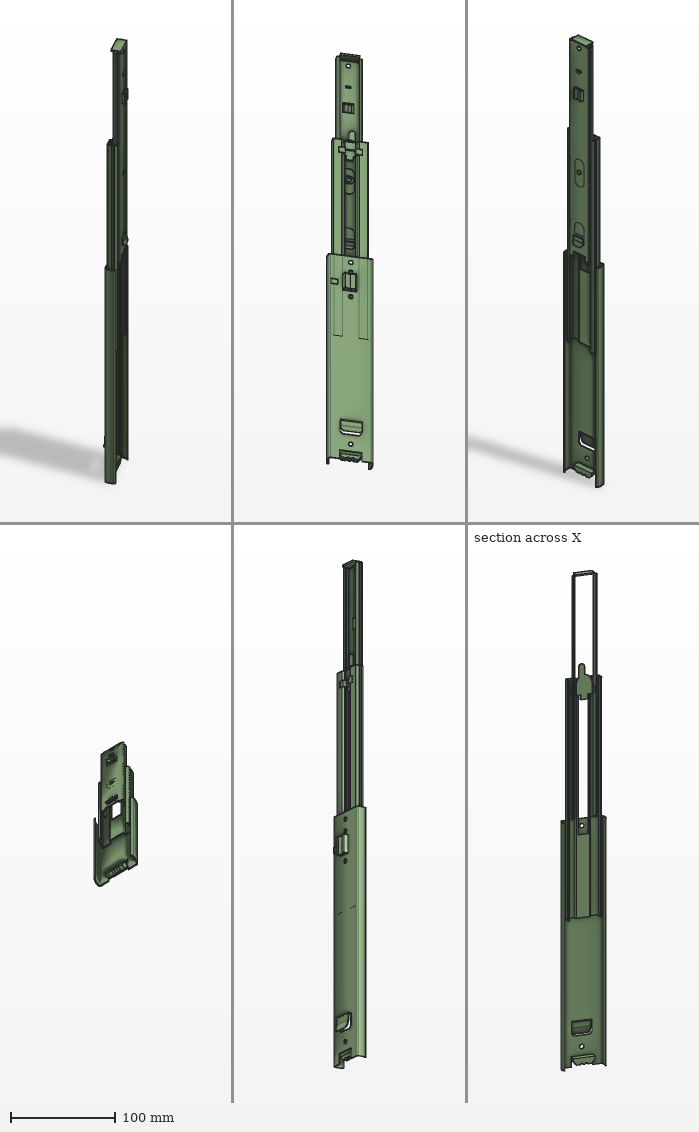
import cadquery as cq


sheet = 1.0
half_sheet = sheet / 2
overall_depth = 20.5
hook_reach = overall_depth / 2

outer_length = 250
outer_width = 45
outer_web_x = -5.5
outer_lip_x = 5.5
outer_bulge = 0.5
outer_bend = 1.5
outer_lip_curl = 1.5
outer_race_x = 0.5

middle_bottom = 151.0
middle_top = 393.0
middle_width = 35
middle_web_x = -4.5
middle_lip_x = 5.5
middle_lip_curl = 2.5
middle_bend = 0.5
middle_groove_x = 1.5
shelf_depth = 2.5
shelf_half_width = 14.5 / 2
shelf_ramp = 1.0
slot_half_width = 10.5 / 2
slot_bottom = 235

inner_bottom = 253.0
inner_top = 500
inner_width = 25.5
inner_hook_height = 3.0
inner_web_x = hook_reach - inner_hook_height
inner_lip_x = 0
inner_lip_half_gap = 9.5
inner_bend = 1.0
inner_groove_x = 4.5

groove_depth = 1.0
groove_half_height = 1.0
louver_x = 8.0


def thicken(path, length):
    """Give an open path the sheet thickness and extrude it."""
    return path.offset2D(half_sheet).extrude(length)


def mirrored_rail(half_path, bottom, top):
    """A rail from bottom to top; its half section on XY is mirrored about Y = 0."""
    half = thicken(half_path, top - bottom).translate((0, 0, bottom))
    return half.union(half.mirror("XZ"))


def block(x0, x1, y0, y1, z0, z1):
    """A box between two opposite corners."""
    return cq.Workplane("XY").box(x1 - x0, y1 - y0, z1 - z0, centered=False).translate((x0, y0, z0))


def bar(x0, x1, y, z, radius):
    """A round bar along X."""
    return cq.Workplane("YZ", origin=(x0, y, z)).circle(radius).extrude(x1 - x0)


def upright_slot(x0, x1, y, z0, z1, width):
    """A plate with round upper and lower ends, its thickness along X."""
    plate = cq.Workplane("YZ", origin=(x0, y, (z0 + z1) / 2))
    return plate.slot2D(z1 - z0, width, 90).extrude(x1 - x0)


def web_window(web_mid, y0, y1, z0, z1):
    """The opening that a lanced hook leaves in a web."""
    return block(web_mid - sheet, web_mid + sheet, y0, y1, z0, z1)


def add_bridge(rail, web_mid, side, y0, y1, z0, z1):
    """Lance a bridge open at both Z ends; it stands out on the given side (-1 or 1) of a web."""
    crest = side * (hook_reach - half_sheet)
    leg_slope = 2.0
    dip = 2.0
    path = (
        cq.Workplane("XY")
        .moveTo(web_mid, y0 + half_sheet)
        .lineTo(crest, y0 + leg_slope)
        .lineTo(crest - side * dip, (y0 + y1) / 2)
        .lineTo(crest, y1 - leg_slope)
        .lineTo(web_mid, y1 - half_sheet)
    )
    strip = thicken(path, z1 - z0).translate((0, 0, z0))
    return rail.cut(web_window(web_mid, y0 + half_sheet, y1 - half_sheet, z0, z1)).union(strip)


def add_louver(rail, web_mid, side, half_width, z0, z1):
    """Lance a tab bent out of the web at z1 that runs down to a flared lip at z0."""
    flat = side * louver_x
    lip_chamfer = 2.5
    path = (
        cq.Workplane("XZ", origin=(0, half_width, 0))
        .moveTo(web_mid, z1 - half_sheet)
        .lineTo(flat, z1 - half_sheet)
        .lineTo(flat, (z0 + z1) / 2)
        .lineTo(side * (hook_reach - half_sheet), z0 + half_sheet)
    )
    outline = block(-hook_reach, hook_reach, -half_width, half_width, z0, z1)
    outline = outline.edges("|X and <Z").chamfer(lip_chamfer)
    tab = thicken(path, 2 * half_width).intersect(outline)
    window = web_window(web_mid, -half_width, half_width, z0, z1 - half_sheet).intersect(outline)
    return rail.cut(window).union(tab)


hole_radius = 2.25
outer_hole_heights = (19.5, 200.5, 230.5, 242.5)
notch_half_width = 11.0
notch_height = 10.5
outer_bump_height = 1.0
outer_bump = dict(y0=13.0, y1=19.5, z0=213.0, z1=219.0)
outer_bridge = dict(y0=-6.0, y1=8.5, z0=207.5, z1=225.5)
outer_louver = dict(half_width=10.5, z0=31.0, z1=46.0)


def make_outer_rail():
    web = outer_web_x + half_sheet
    lip = outer_lip_x - half_sheet
    crest = outer_width / 2 - half_sheet
    side = crest - outer_bulge
    half_section = (
        cq.Workplane("XY")
        .moveTo(web, 0)
        .lineTo(web, side - outer_bend)
        .radiusArc((web + outer_bend, side), outer_bend)
        .threePointArc((outer_race_x, crest), (lip - outer_lip_curl, side))
        .radiusArc((lip, side - outer_lip_curl), outer_lip_curl)
    )
    rail = mirrored_rail(half_section, 0, outer_length)
    web_back = outer_web_x + sheet
    for z in outer_hole_heights:
        rail = rail.cut(bar(outer_web_x, web_back, 0, z, hole_radius))
    rail = rail.cut(block(outer_web_x, web_back, -notch_half_width, notch_half_width, 0, notch_height))
    rail = add_bridge(rail, web, -1, **outer_bridge)
    rail = add_louver(rail, web, -1, **outer_louver)
    return rail.union(block(outer_web_x - outer_bump_height, web, **outer_bump))


stop_front_x = middle_web_x + sheet + shelf_depth
stop_back_x = 1.5
stop_half_width = 8.0
stop_dome_z = 389.0
stop_chamfer = 1.0
collar_radius = 5.5
collar_height = 0.5
crossbar_step = 0.5
arm_inner_y = slot_half_width
arm_outer_y = 11.5
arm_bottom = 377.0
arm_top = 383.5
tongue_half_width = 3.5
tongue_bottom = 372.0
finger_y = -2.5
finger_width = 6.0
finger_top = 408.0


def make_stop_arms(back_x):
    arm = block(middle_web_x, back_x, arm_inner_y, arm_outer_y, arm_bottom, arm_top)
    return arm.union(arm.mirror("XZ"))


def make_stop():
    plate = block(stop_front_x, stop_back_x, -stop_half_width, stop_half_width, arm_top, stop_dome_z)
    plate = plate.union(bar(stop_front_x, stop_back_x, 0, stop_dome_z, stop_half_width))
    plate = plate.intersect(
        block(stop_front_x, stop_back_x, -stop_half_width, stop_half_width, arm_top, finger_top)
    )
    plate = plate.faces("<X").chamfer(stop_chamfer)
    collar_front_x = stop_front_x - collar_height
    collar = bar(collar_front_x, stop_back_x, 0, stop_dome_z, collar_radius).intersect(
        block(collar_front_x, stop_back_x, -collar_radius, collar_radius, middle_top, finger_top)
    )
    crossbar_x = stop_front_x + crossbar_step
    crossbar = block(crossbar_x, stop_back_x, -stop_half_width, stop_half_width, arm_bottom, arm_top)
    tongue = block(
        crossbar_x, stop_back_x, -tongue_half_width, tongue_half_width, tongue_bottom, arm_bottom
    )
    finger = upright_slot(inner_lip_x, stop_back_x, finger_y, stop_dome_z, finger_top, finger_width)
    stop = plate.union(collar).union(crossbar).union(tongue).union(finger)
    return stop.union(make_stop_arms(crossbar_x + crossbar_step))


def make_middle_rail():
    web = middle_web_x + half_sheet
    shelf = web + shelf_depth
    side = middle_width / 2 - half_sheet
    lip = middle_lip_x - half_sheet
    half_section = (
        cq.Workplane("XY")
        .moveTo(shelf, 0)
        .lineTo(shelf, shelf_half_width)
        .lineTo(web, shelf_half_width + shelf_ramp)
        .lineTo(web, side - middle_bend)
        .radiusArc((web + middle_bend, side), middle_bend)
        .lineTo(middle_groove_x - groove_half_height, side)
        .threePointArc((middle_groove_x, side - groove_depth), (middle_groove_x + groove_half_height, side))
        .radiusArc((lip, side - middle_lip_curl), middle_lip_curl)
    )
    rail = mirrored_rail(half_section, middle_bottom, middle_top)
    slot = block(middle_web_x, 0, -slot_half_width, slot_half_width, slot_bottom, middle_top)
    return rail.cut(slot).cut(make_stop_arms(stop_front_x))


inner_web_face = inner_web_x - sheet
top_hole_height = 493.0
top_tab_half_width = 9.5
top_tab_x = -2.5
top_setback = 2.0
end_notch_half_width = 7.5
end_notch_top = 258.5
hook_half_width = 6.0
inner_bridge = dict(y0=-hook_half_width, y1=hook_half_width, z0=435.5, z1=447.0)
inner_louver = dict(half_width=hook_half_width, z0=268.5, z1=278.5)
pad_bottom = 280
pad_top = 293.5
pad_half_width = 6.0
pad_height = 0.5
burr = dict(y0=-2.5, y1=2.5, z0=466.0, z1=468.0)
burr_height = 1.5

rivet_z = 351.5
rivet_head_radius = 4.75
rivet_head_height = 1.0
rivet_shank_radius = 2.5
rivet_dimple_depth = 0.5


def make_rivet_shank(front_x):
    return bar(front_x, inner_web_x, 0, rivet_z, rivet_shank_radius)


def make_pad():
    """A raised pad with a round top on the inside of the web."""
    face = inner_web_face - pad_height
    web = inner_web_x - half_sheet
    arch_z = pad_top - pad_half_width
    straight = block(face, web, -pad_half_width, pad_half_width, pad_bottom, arch_z)
    return straight.union(bar(face, web, 0, arch_z, pad_half_width))


def make_inner_rail():
    web = inner_web_x - half_sheet
    side = inner_width / 2 - half_sheet
    lip = inner_lip_x + half_sheet
    half_section = (
        cq.Workplane("XY")
        .moveTo(web, 0)
        .lineTo(web, side - inner_bend)
        .radiusArc((web - inner_bend, side), -inner_bend)
        .lineTo(inner_groove_x + groove_half_height, side)
        .threePointArc((inner_groove_x, side - groove_depth), (inner_groove_x - groove_half_height, side))
        .lineTo(lip + inner_bend, side)
        .radiusArc((lip, side - inner_bend), -inner_bend)
        .lineTo(lip, inner_lip_half_gap + half_sheet)
    )
    flange_top = inner_top - top_setback
    rail = mirrored_rail(half_section, inner_bottom, flange_top)
    rail = rail.union(
        block(top_tab_x, inner_web_x, -top_tab_half_width, top_tab_half_width, flange_top, inner_top)
    )
    rail = rail.cut(bar(inner_web_face, inner_web_x, 0, top_hole_height, hole_radius))
    rail = rail.cut(make_rivet_shank(inner_web_face))
    notch = end_notch_half_width
    rail = rail.cut(block(inner_web_face, inner_web_x, -notch, notch, inner_bottom, end_notch_top))
    rail = add_bridge(rail, web, 1, **inner_bridge)
    rail = add_louver(rail, web, 1, **inner_louver)
    rail = rail.union(make_pad())
    rail = rail.cut(block(inner_web_face, web, **burr))
    return rail.union(block(web, inner_web_x + burr_height, **burr))


lever_bottom = 335
lever_top = 366.0
lever_width = 11.5
lever_thickness = 1.0
lever_face = inner_web_face - lever_thickness


def make_lever():
    lever = upright_slot(lever_face, inner_web_face, 0, lever_bottom, lever_top, lever_width)
    return lever.cut(make_rivet_shank(lever_face))


def make_rivet():
    head_face = lever_face - rivet_head_height
    rivet = bar(head_face, lever_face, 0, rivet_z, rivet_head_radius)
    rivet = rivet.union(make_rivet_shank(lever_face))
    return rivet.cut(bar(head_face, head_face + rivet_dimple_depth, 0, rivet_z, rivet_shank_radius))


bumper_back_x = 1.5
bumper_ledge_bottom = 9.5
bumper_front_step = 2.0
bumper_shoulder = 7.5
bumper_bottom = 3.5
bumper_foot_half_width = 8.0
bumper_groove_y = 2.5
bumper_groove_radius = 1.25


def make_bumper():
    side_profile = [
        (outer_web_x, notch_height),
        (outer_web_x, bumper_ledge_bottom),
        (outer_web_x + bumper_front_step, bumper_ledge_bottom - bumper_front_step),
        (outer_web_x + bumper_front_step, bumper_bottom),
        (bumper_back_x, bumper_bottom),
        (bumper_back_x, notch_height),
    ]
    front_profile = [
        (-notch_half_width, notch_height),
        (-notch_half_width, bumper_shoulder),
        (-bumper_foot_half_width, bumper_bottom),
        (bumper_foot_half_width, bumper_bottom),
        (notch_half_width, bumper_shoulder),
        (notch_half_width, notch_height),
    ]
    front_plane = cq.Workplane("YZ", origin=(outer_web_x, 0, 0))
    side_plane = cq.Workplane("XZ", origin=(0, notch_half_width, 0))
    bumper = front_plane.polyline(front_profile).close().extrude(bumper_back_x - outer_web_x)
    bumper = bumper.intersect(side_plane.polyline(side_profile).close().extrude(2 * notch_half_width))
    for y in (-bumper_groove_y, bumper_groove_y):
        bumper = bumper.cut(bar(outer_web_x, bumper_back_x, y, bumper_bottom, bumper_groove_radius))
    return bumper


outer_rail = make_outer_rail()
middle_rail = make_middle_rail()
inner_rail = make_inner_rail()
stop = make_stop()
lever = make_lever()
rivet = make_rivet()
bumper = make_bumper()

result = cq.Compound.makeCompound([
    outer_rail.val(),
    middle_rail.val(),
    inner_rail.val(),
    stop.val(),
    lever.val(),
    rivet.val(),
    bumper.val(),
])